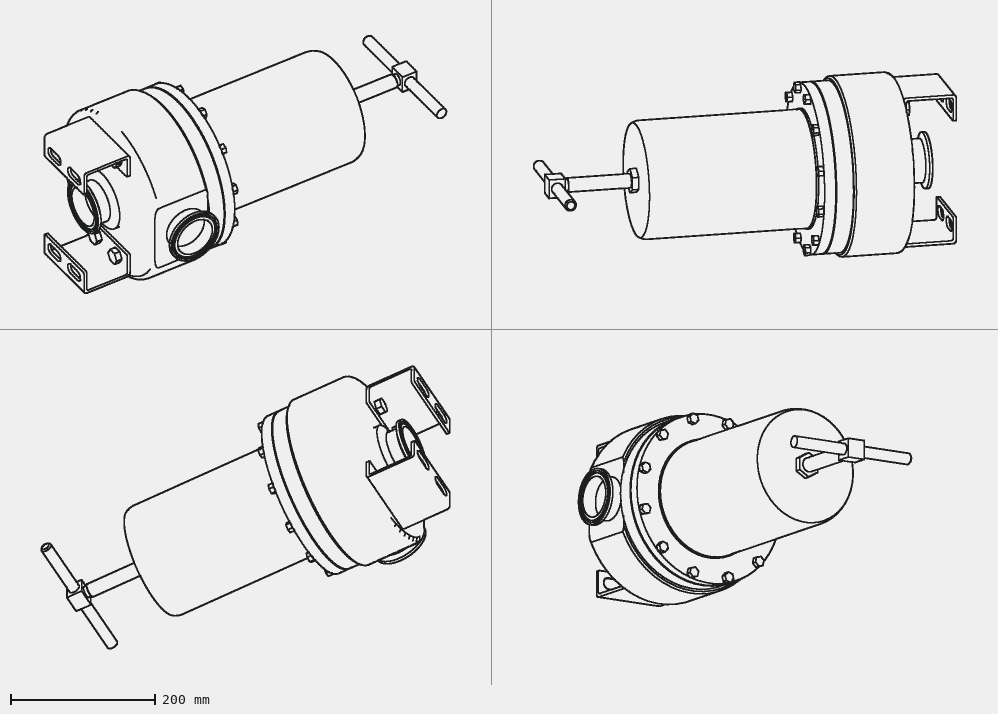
import cadquery as cq
import math


overall_length = 571.0
overall_width = 265.0

body_radius = 251.5 / 2
body_length = 87.0
body_front_fillet = 7.0
body_rear_chamfer = 3.0
flat_x = 114.0
flange_radius = 120.0
flange_rear_y = 128.0
joint_y = 111.5
joint_width = 1.0
joint_depth = 0.5
barrel_radius = 83.0
barrel_rear_y = 367.5
crown_length = 10.0
crown_drop = 3.0
base_ring_radius = 84.0
base_ring_height = 3.0

flange_bolt_count = 12
flange_bolt_circle_radius = 113.0
flange_bolt_corners = 15.0
flange_bolt_height = 7.5

tube_radius = 31.0
bore_radius = 28.5
bore_depth = 21.0
rim_radius = 39.5
rim_thickness = 4.5
rim_taper_length = 3.5
groove_radius = 35.0
groove_width = 3.0
groove_depth = 1.0

inlet_end_y = -45.0
boss_radius = 44.5
boss_fillet = 6.0
boss_shoulder_y = -13.0
boss_taper_mid = (37.0, -15.5)
boss_taper_end_y = -20.0

outlet_end_x = overall_width - body_radius
outlet_center_y = 50.0

bracket_width = 101.5
bracket_reach = 76.0
bracket_thickness = 4.5
bracket_outer_z = 108.0
bracket_leg = 38.0
bend_inner_radius = 3.5
bend_outer_radius = 5.0
leg_corner_radius = 2.0
slot_length = 32.5
slot_height = 16.0
slot_z = 86.0
slot_spacing = 51.0
bracket_bolt_corners = 22.0
bracket_bolt_height = 8.5

nut_corners = 35.0
nut_height = 9.0
nut_turn = 30
spindle_radius = 20.0 / 2
spindle_end_y = 466.0
neck_radius = 16.5 / 2
block_width = 27.0
block_length = 23.5
handle_end_y = overall_length - bracket_reach
handle_radius = 8.0
handle_length = 192.0
handle_chamfer = 2.0


def disc(radius, start_y, end_y):
    """Solid cylinder on the housing axis."""
    return cq.Workplane("XZ", origin=(0, start_y, 0)).circle(radius).extrude(start_y - end_y)


def hexagon(corners, height, x, y, z, turn=0.0):
    """Hexagonal prism running from y towards +Y, with a corner facing +X before turning."""
    prism = cq.Workplane("XZ").polygon(6, corners).extrude(-height)
    return prism.rotate((0, 0, 0), (0, 1, 0), turn).translate((x, y, z))


def make_body():
    """Round body with a flat on its +X side for the outlet."""
    body = disc(body_radius, 0, body_length)
    body = body.faces("<Y").edges().fillet(body_front_fillet)
    body = body.faces(">Y").edges().chamfer(body_rear_chamfer)
    cutter = cq.Workplane("XY").box(
        body_radius, 2 * body_length, 2 * body_radius, centered=(False, True, True)
    )
    return body.cut(cutter.translate((flat_x, body_length / 2, 0)))


def make_flanges():
    """Bolted flange pair with a shallow gap around its joint and a ring at the barrel base."""
    gap_start_y = joint_y - joint_width / 2
    gap_end_y = joint_y + joint_width / 2
    flanges = disc(flange_radius, body_length, gap_start_y)
    flanges = flanges.union(disc(flange_radius - joint_depth, gap_start_y, gap_end_y))
    flanges = flanges.union(disc(flange_radius, gap_end_y, flange_rear_y))
    return flanges.union(disc(base_ring_radius, flange_rear_y, flange_rear_y + base_ring_height))


def make_barrel():
    """Barrel with a slightly domed shoulder that is tangent to its side."""
    crown_radius = (crown_length**2 + crown_drop**2) / (2 * crown_drop)
    half_angle = math.asin(crown_length / crown_radius) / 2
    crown_start_y = barrel_rear_y - crown_length
    crown_mid = (
        barrel_radius - crown_radius * (1 - math.cos(half_angle)),
        crown_start_y + crown_radius * math.sin(half_angle),
    )
    return (
        cq.Workplane("XY")
        .moveTo(0, flange_rear_y)
        .lineTo(barrel_radius, flange_rear_y)
        .lineTo(barrel_radius, crown_start_y)
        .threePointArc(crown_mid, (barrel_radius - crown_drop, barrel_rear_y))
        .lineTo(0, barrel_rear_y)
        .close()
        .revolve(360, (0, 0, 0), (0, 1, 0))
    )


def add_flange_bolts(part):
    """Ring of bolt heads, each with a corner facing outwards."""
    step = 360 / flange_bolt_count
    for index in range(flange_bolt_count):
        angle = (index + 0.5) * step
        x = flange_bolt_circle_radius * math.cos(math.radians(angle))
        z = flange_bolt_circle_radius * math.sin(math.radians(angle))
        bolt = hexagon(flange_bolt_corners, flange_bolt_height, x, flange_rear_y, z, -angle)
        part = part.union(bolt)
    return part


def make_ferrule(tube_length):
    """Solid tube along Y whose clamp rim faces -Y at Y = 0."""
    return (
        cq.Workplane("XY")
        .polyline(
            [
                (0, 0),
                (rim_radius, 0),
                (rim_radius, rim_thickness),
                (tube_radius, rim_thickness + rim_taper_length),
                (tube_radius, tube_length),
                (0, tube_length),
            ]
        )
        .close()
        .revolve(360, (0, 0, 0), (0, 1, 0))
    )


def make_ferrule_bore():
    """Blind bore and gasket groove that open on the rim face at Y = 0."""
    bore = disc(bore_radius, 0, bore_depth)
    groove = disc(groove_radius + groove_width / 2, 0, groove_depth)
    groove = groove.cut(disc(groove_radius - groove_width / 2, 0, groove_depth))
    return bore.union(groove)


def make_inlet_boss():
    """Boss with a concave fillet onto the body and a concave taper to the tube."""
    fillet_mid_offset = boss_fillet * (1 - math.sqrt(0.5))
    return (
        cq.Workplane("XY")
        .moveTo(0, 0)
        .lineTo(boss_radius + boss_fillet, 0)
        .threePointArc(
            (boss_radius + fillet_mid_offset, -fillet_mid_offset),
            (boss_radius, -boss_fillet),
        )
        .lineTo(boss_radius, boss_shoulder_y)
        .threePointArc(boss_taper_mid, (tube_radius, boss_taper_end_y))
        .lineTo(0, boss_taper_end_y)
        .close()
        .revolve(360, (0, 0, 0), (0, 1, 0))
    )


def add_inlet(part):
    """Boss and bored ferrule on the front face."""
    shift = (0, inlet_end_y, 0)
    part = part.union(make_inlet_boss())
    part = part.union(make_ferrule(-inlet_end_y).translate(shift))
    return part.cut(make_ferrule_bore().translate(shift))


def add_outlet(part):
    """Bored ferrule on the flat, facing +X."""
    def place(shape):
        turned = shape.rotate((0, 0, 0), (0, 0, 1), 90)
        return turned.translate((outlet_end_x, outlet_center_y, 0))

    part = part.union(place(make_ferrule(outlet_end_x - flat_x)))
    return part.cut(place(make_ferrule_bore()))


def make_upper_bracket():
    """Bent C-shaped plate with two slots in its front leg and two bolts in its rear leg."""
    leg_end_z = bracket_outer_z - bracket_leg
    bracket = (
        cq.Workplane("XY")
        .box(bracket_width, bracket_reach, bracket_leg, centered=(True, False, False))
        .translate((0, -bracket_reach, leg_end_z))
        .edges("|X and >Z")
        .fillet(bend_outer_radius)
    )
    inner = (
        cq.Workplane("XY")
        .box(
            bracket_width,
            bracket_reach - 2 * bracket_thickness,
            bracket_leg - bracket_thickness,
            centered=(True, False, False),
        )
        .translate((0, bracket_thickness - bracket_reach, leg_end_z))
        .edges("|X and >Z")
        .fillet(bend_inner_radius)
    )
    bracket = bracket.cut(inner).edges("|Y and <Z").fillet(leg_corner_radius)
    slots = (
        cq.Workplane("XZ", origin=(0, -bracket_reach, slot_z))
        .rarray(slot_spacing, 5.5, 2, 1)
        .slot2D(slot_length, slot_height)
        .extrude(-bracket_thickness)
    )
    bracket = bracket.cut(slots)
    for x in (-slot_spacing / 2, slot_spacing / 2):
        head_y = -bracket_thickness - bracket_bolt_height
        bracket = bracket.union(hexagon(bracket_bolt_corners, bracket_bolt_height, x, head_y, slot_z))
    return bracket


def make_spindle():
    """Lock nut, spindle, neck and square block carrying the cross handle."""
    block_start_y = handle_end_y - block_length
    nut = hexagon(nut_corners, nut_height, 0, barrel_rear_y, 0, nut_turn)
    spindle = disc(spindle_radius, barrel_rear_y, spindle_end_y)
    neck = disc(neck_radius, spindle_end_y, block_start_y)
    block = cq.Workplane("XY").box(block_width, block_length, block_width)
    bar = cq.Workplane("YZ").circle(handle_radius).extrude(handle_length / 2, both=True)
    bar = bar.faces("<X").edges().chamfer(handle_chamfer)
    head = block.union(bar).translate((0, handle_end_y - block_length / 2, 0))
    return nut.union(spindle).union(neck).union(head)


result = make_body()
result = result.union(make_flanges())
result = result.union(make_barrel())
result = add_flange_bolts(result)
result = add_inlet(result)
result = add_outlet(result)

upper_bracket = make_upper_bracket()
result = result.union(upper_bracket)
result = result.union(upper_bracket.mirror("XY"))
result = result.union(make_spindle())